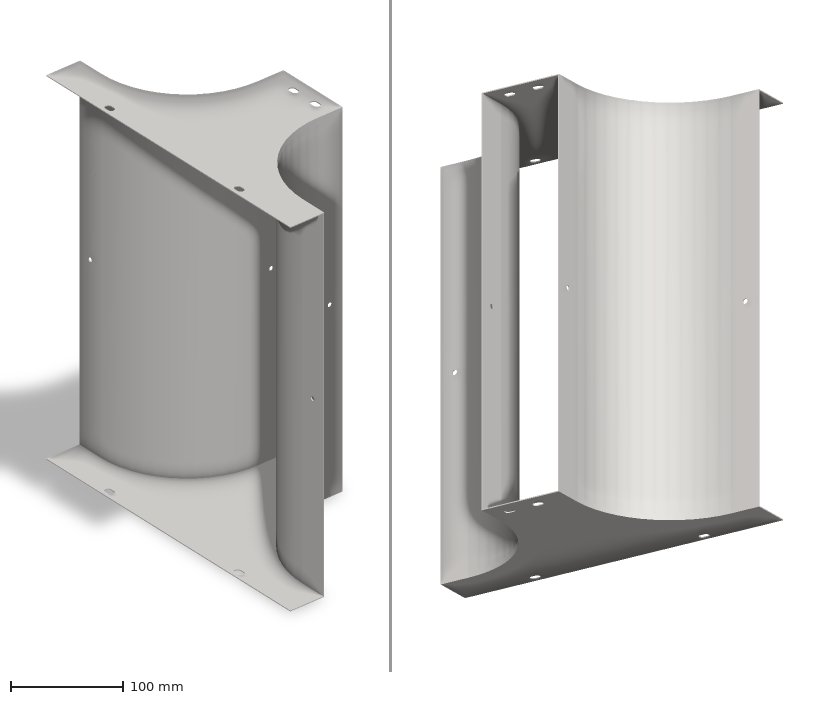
import cadquery as cq
import math

width = 340.0
depth = 168.0
height = 401.0
sheet = 1.0

bend_radius = 99.0
strip = 29.5
tangent_x = width / 2 - strip
tangent_y = depth - strip
neck_half = tangent_x - bend_radius
shoulder_y = tangent_y - bend_radius

screw_diameter = 5.0
screw_inset = strip / 2
screw_cut = 3 * sheet

slot_width = 7.0
slot_length = 11.0
front_slot_x = 90.2
front_slot_y = 7.2
neck_slot_xs = (-9.0, 21.3)
neck_slot_inset = 15.2


def make_plate():
    """Tee-shaped end plate with its underside on Z = 0."""
    half = width / 2
    mid_offset = bend_radius * math.sqrt(0.5)
    mid_x = tangent_x - mid_offset
    mid_y = tangent_y - mid_offset
    return (
        cq.Workplane("XY")
        .moveTo(-half, 0)
        .lineTo(half, 0)
        .lineTo(half, shoulder_y)
        .lineTo(tangent_x, shoulder_y)
        .threePointArc((mid_x, mid_y), (neck_half, tangent_y))
        .lineTo(neck_half, depth)
        .lineTo(-neck_half, depth)
        .lineTo(-neck_half, tangent_y)
        .threePointArc((-mid_x, mid_y), (-tangent_x, shoulder_y))
        .lineTo(-half, shoulder_y)
        .close()
        .extrude(sheet)
    )


def make_wall():
    """Right-hand curved wall, inside the plate outline, with its two screw holes."""
    outer_x = width / 2
    inner_radius = bend_radius + sheet
    outer_mid = bend_radius * math.sqrt(0.5)
    inner_mid = inner_radius * math.sqrt(0.5)
    wall = (
        cq.Workplane("XY")
        .moveTo(outer_x, shoulder_y)
        .lineTo(tangent_x, shoulder_y)
        .threePointArc((tangent_x - outer_mid, tangent_y - outer_mid), (neck_half, tangent_y))
        .lineTo(neck_half, depth)
        .lineTo(neck_half - sheet, depth)
        .lineTo(neck_half - sheet, tangent_y)
        .threePointArc(
            (tangent_x - inner_mid, tangent_y - inner_mid),
            (tangent_x, shoulder_y - sheet),
        )
        .lineTo(outer_x, shoulder_y - sheet)
        .close()
        .extrude(height)
    )
    shoulder_hole = (
        cq.Workplane("XZ", origin=(outer_x - screw_inset, shoulder_y + sheet, height / 2))
        .circle(screw_diameter / 2)
        .extrude(screw_cut)
    )
    neck_hole = (
        cq.Workplane("YZ", origin=(neck_half - 2 * sheet, depth - screw_inset, height / 2))
        .circle(screw_diameter / 2)
        .extrude(screw_cut)
    )
    return wall.cut(shoulder_hole).cut(neck_hole)


def make_slots():
    """Cutters for the front and neck slots, running the full height."""
    centres = [(-front_slot_x, front_slot_y), (front_slot_x, front_slot_y)]
    centres += [(x, depth - neck_slot_inset) for x in neck_slot_xs]
    return cq.Workplane("XY").pushPoints(centres).slot2D(slot_length, slot_width).extrude(height)


bottom_plate = make_plate()
top_plate = bottom_plate.translate((0, 0, height - sheet))
right_wall = make_wall()
left_wall = right_wall.mirror("YZ")

result = bottom_plate.union(top_plate).union(right_wall).union(left_wall).cut(make_slots())